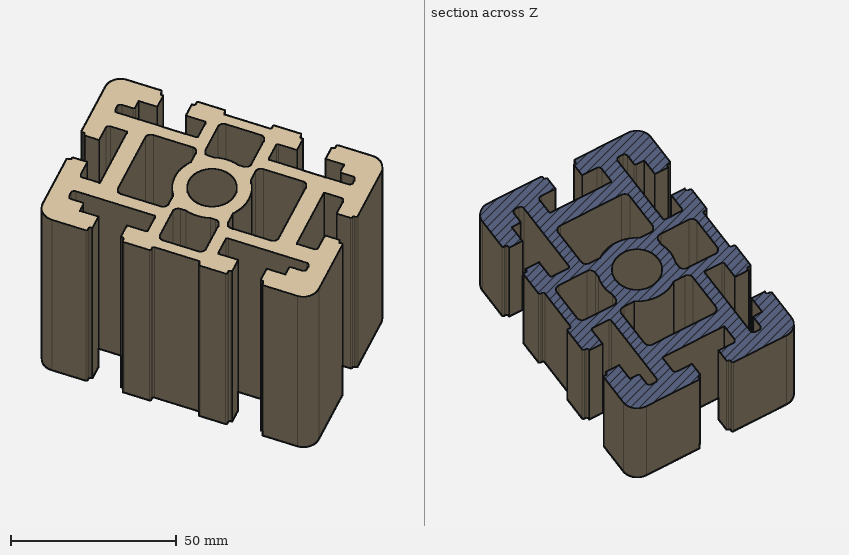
import cadquery as cq
import math

length_x = 90.0
width_y = 60.0
height_z = 70.0
corner_radius = 5.0

half_x = length_x / 2
half_y = width_y / 2

long_slot_center = 22.8
long_mouth_width = 9.3
long_rim_width = 11.3
rim_depth = 1.6
long_lip_depth = 6.5
long_ledge_depth = 9.8
long_slot_depth = 13.2
long_slot_inner_x = 11.5
long_ledge_x = 33.5
slot_outer_x = 38.7
center_recess_width = 15.5

short_mouth_width = 9.4
short_rim_width = 11.3
short_rim_depth = 1.35
short_slot_width = 22.0
short_slot_depth = 13.0

edge_radius = 0.5
short_rim_radius = 0.45
undercut_radius = 1.1

bore_diameter = 15.0
hub_diameter = 24.0
chamber_radius = 1.8
side_chamber_inner_x = 9.7
side_chamber_outer_x = 26.2
side_chamber_half_y = 12.7
middle_chamber_half_x = 7.5
middle_chamber_inner_y = 11.3
middle_chamber_outer_y = 24.9


def toward(start, end, distance):
    """Point at a distance from start on the line to end."""
    ratio = distance / math.dist(start, end)
    return (start[0] + (end[0] - start[0]) * ratio, start[1] + (end[1] - start[1]) * ratio)


def rounded_prism(corners):
    """Extrude a closed outline of right-angled (x, y, radius) corners; radius 0 stays sharp."""
    points = [(x, y) for x, y, _ in corners]
    outline = cq.Workplane("XY").moveTo(*toward(points[0], points[-1], corners[0][2]))
    for i, (x, y, radius) in enumerate(corners):
        before = points[i - 1]
        after = points[(i + 1) % len(points)]
        arc_start = toward((x, y), before, radius)
        arc_end = toward((x, y), after, radius)
        if i > 0:
            outline = outline.lineTo(*arc_start)
        if radius > 0:
            chord_middle = ((arc_start[0] + arc_end[0]) / 2, (arc_start[1] + arc_end[1]) / 2)
            arc_middle = toward((x, y), chord_middle, radius * (math.sqrt(2) - 1))
            outline = outline.threePointArc(arc_middle, arc_end)
    return outline.close().extrude(height_z)


def mirrored_outline(quarter):
    """Complete a first-quadrant chain, running from the X axis to the Y axis, into a full loop."""
    upper = quarter + [(-x, y, r) for x, y, r in reversed(quarter)]
    return upper + [(x, -y, r) for x, y, r in reversed(upper)]


def outer_quarter():
    """Corners of the outer outline in the first quadrant, counterclockwise."""
    short_floor_x = half_x - short_slot_depth
    short_rim_x = half_x - short_rim_depth
    short_side = [
        (short_floor_x, short_slot_width / 2, 0),
        (slot_outer_x, short_slot_width / 2, undercut_radius),
        (slot_outer_x, short_mouth_width / 2, 0),
        (short_rim_x, short_mouth_width / 2, short_rim_radius),
        (short_rim_x, short_rim_width / 2, short_rim_radius),
        (half_x, short_rim_width / 2, short_rim_radius),
    ]
    rim_y = half_y - rim_depth
    lip_y = half_y - long_lip_depth
    ledge_y = half_y - long_ledge_depth
    floor_y = half_y - long_slot_depth
    mouth_outer_x = long_slot_center + long_mouth_width / 2
    mouth_inner_x = long_slot_center - long_mouth_width / 2
    rim_outer_x = long_slot_center + long_rim_width / 2
    rim_inner_x = long_slot_center - long_rim_width / 2
    long_side = [
        (rim_outer_x, half_y, edge_radius),
        (rim_outer_x, rim_y, edge_radius),
        (mouth_outer_x, rim_y, 0),
        (mouth_outer_x, lip_y, 0),
        (long_ledge_x, lip_y, 0),
        (long_ledge_x, ledge_y, edge_radius),
        (slot_outer_x, ledge_y, undercut_radius),
        (slot_outer_x, floor_y, undercut_radius),
        (long_slot_inner_x, floor_y, edge_radius),
        (long_slot_inner_x, lip_y, edge_radius),
        (mouth_inner_x, lip_y, 0),
        (mouth_inner_x, rim_y, 0),
        (rim_inner_x, rim_y, edge_radius),
        (rim_inner_x, half_y, edge_radius),
        (center_recess_width / 2, half_y, edge_radius),
        (center_recess_width / 2, rim_y, edge_radius),
    ]
    return short_side + [(half_x, half_y, corner_radius)] + long_side


def chamber(x_min, x_max, y_min, y_max):
    """Hollow with rounded corners running the full height."""
    return rounded_prism([
        (x_min, y_min, chamber_radius),
        (x_max, y_min, chamber_radius),
        (x_max, y_max, chamber_radius),
        (x_min, y_max, chamber_radius),
    ])


def cylinder(diameter):
    return cq.Workplane("XY").circle(diameter / 2).extrude(height_z)


profile = rounded_prism(mirrored_outline(outer_quarter()))

side_chamber = chamber(side_chamber_inner_x, side_chamber_outer_x, -side_chamber_half_y, side_chamber_half_y)
middle_chamber = chamber(
    -middle_chamber_half_x, middle_chamber_half_x, middle_chamber_inner_y, middle_chamber_outer_y
)
for hollow, mirror_plane in ((side_chamber, "YZ"), (middle_chamber, "XZ")):
    profile = profile.cut(hollow).cut(hollow.mirror(mirror_plane))

result = profile.union(cylinder(hub_diameter)).cut(cylinder(bore_diameter))